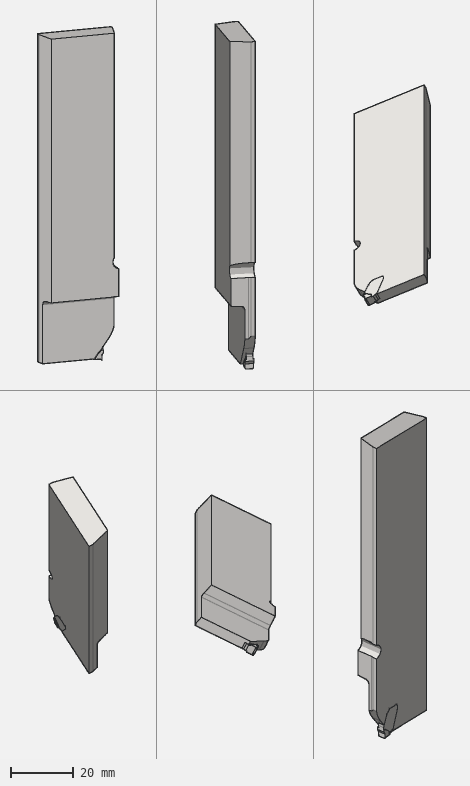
import cadquery as cq

total_height = 110.0
holder_thickness = 8.0
holder_width = 25.1
head_overhang = 0.3
half_width = holder_width / 2

land_thickness = 1.4
back_inset = 1.8

holder_bottom = 1.0
blade_thickness = 3.4
shoulder_root = 21.9
shoulder_rise = 0.4
shoulder_fillet = 1.3

lug_inset = 0.2
lug_height = 13.2
lug_bevel_height = 1.5

notch_radius = 2.5
notch_depth = 2.2
notch_height = 34.0
clearance_top = 12.0
clearance_middle = (10.6, 7.5)
clearance_curve_point = (11.8, 9.6)
clearance_end = 5.7

cutting_corner = (8.6, 0)
relief_lower = (8.6, 1.8)
relief_upper = (9.1, 2.8)
outer_side_lower = (9.0, 4.3)
outer_side_upper = (7.4, 8.5)
seat_outer = (5.9, 10.0)
seat_inner = (2.4, 10.0)
seat_curve_point = (2.1, 9.1)
inner_side_upper = (2.2, 7.8)
inner_side_lower = (4.4, 1.3)
edge_inner = (5.7, 0.5)
edge_outer = (8.1, 0.4)
insert_thickness = 2.2
head_relief = 0.3
head_edge_upper = (8.4, 3.4)
head_edge_lower = (6.3, 1.6)


def extrude_along_x(profile, start, thickness):
    """Extrude a closed (Y, Z) profile along +X from the given X."""
    return profile.extrude(thickness).translate((start, 0, 0))


def make_shank():
    """Full-height bar whose flanks narrow toward the back."""
    return (
        cq.Workplane("XY", origin=(0, 0, holder_bottom))
        .moveTo(0, -half_width)
        .lineTo(land_thickness, -half_width)
        .lineTo(holder_thickness, -half_width + back_inset)
        .lineTo(holder_thickness, half_width - back_inset)
        .lineTo(land_thickness, half_width)
        .lineTo(0, half_width)
        .close()
        .extrude(total_height - holder_bottom)
    )


def make_lug():
    """Block on the rear flank with a sloping upper end."""
    outer_y = half_width - lug_inset
    inner_y = half_width - back_inset
    lug_top = shoulder_root + lug_height
    profile = (
        cq.Workplane("YZ")
        .moveTo(inner_y, holder_bottom)
        .lineTo(outer_y, holder_bottom)
        .lineTo(outer_y, lug_top - lug_bevel_height)
        .lineTo(inner_y, lug_top)
        .close()
    )
    return extrude_along_x(profile, land_thickness, holder_thickness - land_thickness)


def make_blade_relief():
    """Material removed behind the blade, up to the sloping shoulder."""
    return (
        cq.Workplane("XZ", origin=(0, half_width, 0))
        .moveTo(blade_thickness, 0)
        .lineTo(holder_thickness, 0)
        .lineTo(holder_thickness, shoulder_root + shoulder_rise)
        .lineTo(blade_thickness, shoulder_root)
        .close()
        .extrude(holder_width)
        .edges("|Y")
        .edges(cq.selectors.NearestToPointSelector((blade_thickness, 0, shoulder_root)))
        .fillet(shoulder_fillet)
    )


def make_notch():
    profile = (
        cq.Workplane("YZ")
        .center(half_width - notch_depth + notch_radius, notch_height)
        .circle(notch_radius)
    )
    return extrude_along_x(profile, 0, holder_thickness)


def make_clearance():
    """Curved and sloping cut beside the insert on the rear edge."""
    profile = (
        cq.Workplane("YZ")
        .moveTo(half_width, clearance_top)
        .threePointArc(clearance_curve_point, clearance_middle)
        .lineTo(clearance_end, holder_bottom)
        .lineTo(half_width, holder_bottom)
        .close()
    )
    return extrude_along_x(profile, 0, holder_thickness)


def insert_profile():
    """Slender insert outline, with its cutting corner at the lowest point."""
    return (
        cq.Workplane("YZ")
        .moveTo(*cutting_corner)
        .lineTo(*relief_lower)
        .lineTo(*relief_upper)
        .lineTo(*outer_side_lower)
        .lineTo(*outer_side_upper)
        .lineTo(*seat_outer)
        .lineTo(*seat_inner)
        .threePointArc(seat_curve_point, inner_side_upper)
        .lineTo(*inner_side_lower)
        .lineTo(*edge_inner)
        .lineTo(*edge_outer)
        .close()
    )


def make_insert():
    """Flat insert body with a wider cutting head below its diagonal edge."""
    body = extrude_along_x(insert_profile(), 0, insert_thickness)
    head_thickness = insert_thickness + 2 * head_overhang
    head_blank = extrude_along_x(insert_profile(), -head_overhang, head_thickness)
    head_area = (
        cq.Workplane("YZ")
        .moveTo(half_width, head_edge_upper[1])
        .lineTo(*head_edge_upper)
        .lineTo(*head_edge_lower)
        .lineTo(head_edge_lower[0], 0)
        .lineTo(half_width, 0)
        .close()
    )
    head_region = extrude_along_x(head_area, -head_overhang, head_thickness)
    head_sides = (
        cq.Workplane("XZ", origin=(0, half_width, 0))
        .moveTo(-head_overhang + head_relief, 0)
        .lineTo(-head_overhang, head_relief)
        .lineTo(-head_overhang, half_width)
        .lineTo(insert_thickness + head_overhang, half_width)
        .lineTo(insert_thickness + head_overhang, head_relief)
        .lineTo(insert_thickness + head_overhang - head_relief, 0)
        .close()
        .extrude(holder_width)
    )
    head = head_blank.intersect(head_region)
    return body.union(head).intersect(head_sides)


def make_holder(insert):
    """Shank with its lug, blade, edge cuts and a pocket matching the insert."""
    return (
        make_shank()
        .union(make_lug())
        .cut(make_blade_relief())
        .cut(make_notch())
        .cut(make_clearance())
        .cut(insert)
    )


cutting_insert = make_insert()
holder = make_holder(cutting_insert)
result = cq.Compound.makeCompound([holder.val(), cutting_insert.val()])